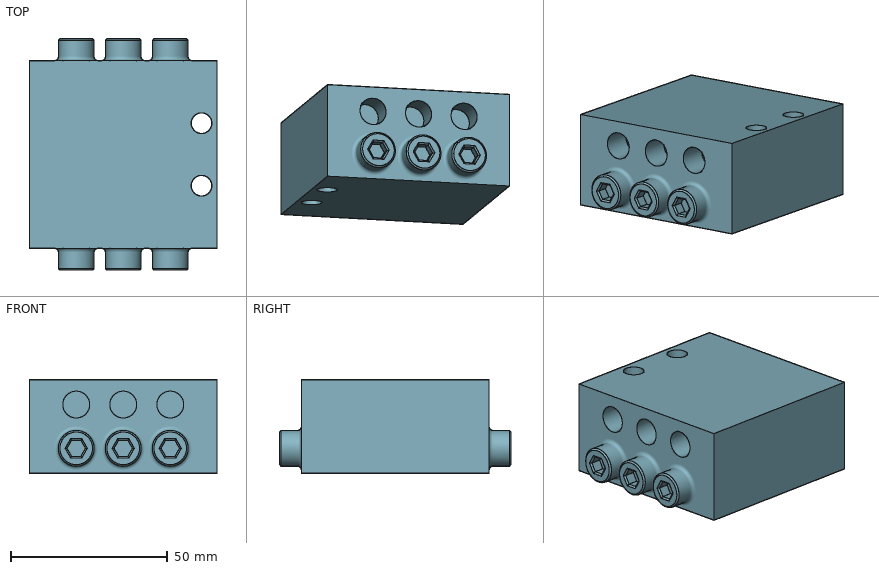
import cadquery as cq
import math

block_side = 60.0
block_height = 30.0

row_pitch = 15.0
row_positions = (-row_pitch, 0, row_pitch)
plug_z = 8.0 - block_height / 2
port_z = 22.0 - block_height / 2

overall_length = 74
plug_height = (overall_length - block_side) / 2
plug_diameter = 11.5
plug_chamfer = 0.5
root_radius = 1.25

socket_flats = 5.1
mouth_bevel = 0.5
socket_depth = 4.0

port_diameter = 8.6
port_depth = 10.0

mount_diameter = 6.5
mount_x = 25.0
mount_y = 10.0


def hexagon(plane, across_flats):
    """Hexagon sketched on a plane, with two corners on its local X axis."""
    return plane.polygon(6, across_flats / math.cos(math.pi / 6))


def make_plug():
    """Plug along +Z with its root at the origin, flaring into the block face."""
    radius = plug_diameter / 2
    root_mid = root_radius * (1 - math.sqrt(0.5))
    body = (
        cq.Workplane("XZ")
        .lineTo(radius + root_radius, 0)
        .threePointArc((radius + root_mid, root_mid), (radius, root_radius))
        .lineTo(radius, plug_height - plug_chamfer)
        .lineTo(radius - plug_chamfer, plug_height)
        .lineTo(0, plug_height)
        .close()
        .revolve(360, (0, 0, 0), (0, 1, 0))
    )
    top = cq.Workplane("XY").workplane(offset=plug_height)
    socket = hexagon(top, socket_flats).extrude(-socket_depth)
    mouth_rim = hexagon(top, socket_flats + 2 * mouth_bevel)
    mouth = hexagon(mouth_rim.workplane(offset=-mouth_bevel), socket_flats).loft(ruled=True)
    return body.cut(socket).cut(mouth)


def front_plugs():
    """Row of plugs pointing out of the -Y face."""
    plug = make_plug().rotate((0, 0, 0), (1, 0, 0), 90)
    return [plug.translate((x, -block_side / 2, plug_z)) for x in row_positions]


def front_ports():
    """Row of blind port cutters going in from the -Y face."""
    return (
        cq.Workplane("XZ", origin=(0, -block_side / 2, 0))
        .pushPoints([(x, port_z) for x in row_positions])
        .circle(port_diameter / 2)
        .extrude(-port_depth)
    )


def mounting_holes():
    """Cutters for the two vertical through holes."""
    return (
        cq.Workplane("XY")
        .pushPoints([(mount_x, -mount_y), (mount_x, mount_y)])
        .circle(mount_diameter / 2)
        .extrude(block_height / 2, both=True)
    )


result = cq.Workplane("XY").box(block_side, block_side, block_height).cut(mounting_holes())

ports = front_ports()
result = result.cut(ports).cut(ports.mirror("XZ"))
for plug in front_plugs():
    result = result.union(plug).union(plug.mirror("XZ"))